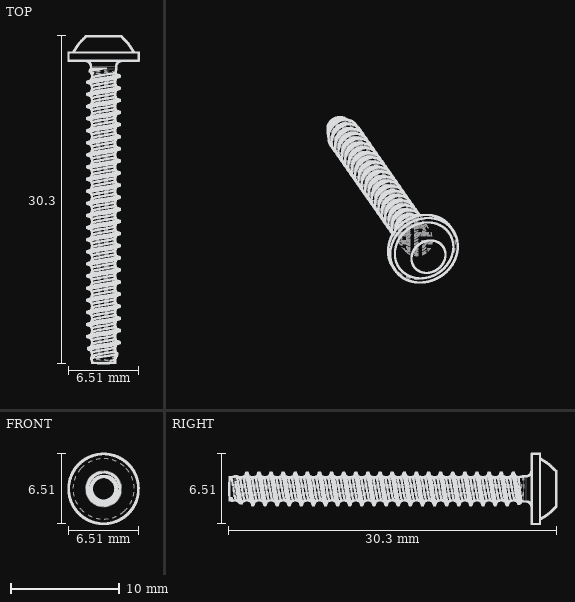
import cadquery as cq
import math

total_length = 30.3
head_height = 2.3
shank_length = total_length - head_height

flange_radius = 3.257
flange_thickness = 0.82
flange_edge_break = 0.045
dome_base_radius = 2.82
dome_top_radius = 1.65
dome_bulge = 0.1

neck_radius = 1.18
neck_fillet = 0.48
neck_length = 0.73
neck_cone_length = 0.45
core_radius = 1.1
tip_cone_height = 0.05

thread_radius = 1.53
thread_turns = 26
thread_pitch = 1.12
crest_half_width = 0.015
flank_foot_radius = 1.197
flank_foot_half_width = 0.12
root_half_width = 0.5
root_overlap = 0.045
first_crest_height = 0.82
tip_runout = 1.82
crest_clearance = 0.05
runout_overlap = 0.05
head_runout_start = 0.55
head_runout_end = 1.6


def arc_middle(start, end, bulge):
    """Middle point of an arc bulging outward from the chord start-end, which runs inward and up."""
    dx = end[0] - start[0]
    dz = end[1] - start[1]
    chord = math.hypot(dx, dz)
    middle_x = (start[0] + end[0]) / 2 + bulge * dz / chord
    middle_z = (start[1] + end[1]) / 2 - bulge * dx / chord
    return (middle_x, middle_z)


def make_blank():
    """Head, neck and thread core as one revolved body."""
    dome_start = (dome_base_radius, flange_thickness)
    dome_end = (dome_top_radius, head_height)
    fillet_shift = neck_fillet * (1 - math.sqrt(0.5))
    outline = (
        cq.Workplane("YZ")
        .moveTo(0, -shank_length)
        .lineTo(core_radius, tip_cone_height - shank_length)
        .lineTo(core_radius, -neck_length - neck_cone_length)
        .lineTo(neck_radius, -neck_length)
        .lineTo(neck_radius, -neck_fillet)
        .threePointArc((neck_radius + fillet_shift, -fillet_shift), (neck_radius + neck_fillet, 0))
        .lineTo(flange_radius - flange_edge_break, 0)
        .lineTo(flange_radius, flange_edge_break)
        .lineTo(flange_radius, flange_thickness)
        .lineTo(*dome_start)
        .threePointArc(arc_middle(dome_start, dome_end, dome_bulge), dome_end)
        .lineTo(0, head_height)
        .close()
    )
    return outline.revolve(360, (0, 0, 0), (0, 1, 0))


def make_thread():
    """Right-hand ridge with a broad foot, bounded by ruled helical faces and two flat end caps."""
    root_radius = core_radius - root_overlap
    profile = [
        (root_radius, -root_half_width),
        (flank_foot_radius, -flank_foot_half_width),
        (thread_radius, -crest_half_width),
        (thread_radius, crest_half_width),
        (flank_foot_radius, flank_foot_half_width),
        (root_radius, root_half_width),
    ]
    ridge_length = thread_turns * thread_pitch
    helices = [
        cq.Wire.makeHelix(thread_pitch, ridge_length, radius).translate(cq.Vector(0, 0, height))
        for radius, height in profile
    ]
    next_helices = helices[1:] + helices[:1]
    faces = [cq.Face.makeRuledSurface(first, second) for first, second in zip(helices, next_helices)]
    for cap_height in (0, ridge_length):
        corners = [cq.Vector(radius, 0, height + cap_height) for radius, height in profile]
        faces.append(cq.Face.makeFromWires(cq.Wire.makePolygon(corners, close=True)))
    ridge = cq.Solid.makeSolid(cq.Shell.makeShell(faces)).fix()
    start_height = first_crest_height - thread_pitch - shank_length
    return cq.Workplane(obj=ridge).translate((0, 0, start_height))


def make_runout_envelope():
    """Revolved limit that lets the ridge fade out towards the tip and the neck."""
    tip = tip_cone_height - shank_length
    return (
        cq.Workplane("XZ")
        .moveTo(0, tip)
        .lineTo(core_radius - runout_overlap, tip)
        .lineTo(thread_radius + crest_clearance, tip + tip_runout)
        .lineTo(thread_radius + crest_clearance, -head_runout_end)
        .lineTo(neck_radius - runout_overlap, -head_runout_start)
        .lineTo(0, -head_runout_start)
        .close()
        .revolve(360, (0, 0, 0), (0, 1, 0))
    )


thread = make_thread().intersect(make_runout_envelope())
screw = make_blank().union(thread)
result = screw.rotate((0, 0, 0), (1, 0, 0), -90)